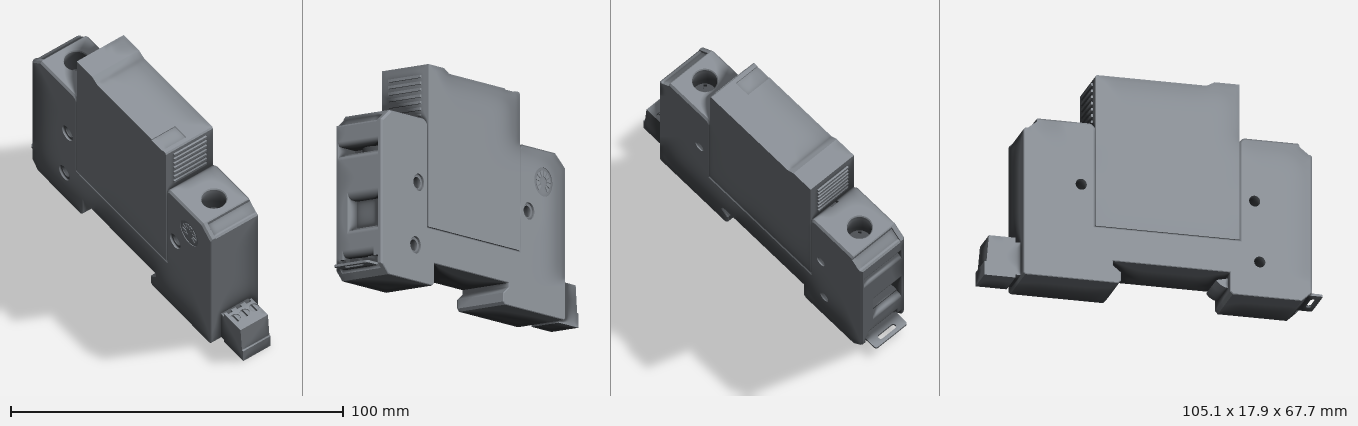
import cadquery as cq
import math


overall_length = 105.1

length = 89.9
depth = 17.9
height = 50.6
middle_y = 9.0
edge_chamfer = 0.6
foot_edge_chamfer = 0.2
corner_run = 4.4
corner_drop = 3.5
foot_chamfer_run = 3.4
foot_chamfer_rise = 3.2
right_foot_chamfer = 0.5

front_wall = 1.8
recess_lip = 1.3
recess_lip_bevel = 0.5
recess_slope_end = 4.1
recess_slope_rise = 2.2

rail_left = 25.6
rail_right = 62.2
rail_top = 6.9
rail_foot_chamfer = 0.8
hook_x = 59.7
hook_top = 5.6
hook_low = 3.6

module_left = 22.8
module_right = 67.6
module_bottom = 17.8
module_height = 67.7
module_depth = 17.7
module_step_z = 66.3
module_step_start = 30.5
module_step_end = 33.0
module_corner = 0.4
module_step_radius = 1.0
slot_mouth_radius = 2.1

fin_count = 7
fin_pitch = 2.0
fin_first_z = 52.2
fin_thickness = 0.8
fin_reach = 0.6
fin_y_start = 2.7
fin_y_end = 14.9

window_left = 60.3
window_width = 5.5
window_depth = 8.8
window_recess = 0.3

mouth_notches = [(21.3, module_left, 2.9), (module_right, 68.2, 5.3)]
mouth_notch_height = 2.1

well_inset = 10.5
well_radius = 3.8
well_depth = 8.4
well_chamfer = 0.3
screw_cross_length = 6.7
screw_cross_width = 1.0
screw_cross_depth = 1.0

rivet_z = 30.6
rivet_holes = [(18.1, rivet_z), (72.1, rivet_z), (16.5, 11.1)]
rivet_diameter = 3.5
rivet_bore_diameter = 5.3
rivet_bore_depth = 0.7

dial_x = 79.1
dial_z = 40.7
dial_radius = 4.4
dial_ring_radius = 3.5
dial_hub_radius = 1.7
dial_recess = 0.2
dial_mark_width = 0.3
dial_mark_angles = range(-30, 211, 30)
dial_gap_half_angle = 35

entry_y_start = 1.6
entry_y_end = 16.7
entry_bottom = 36.4
entry_top = 42.0
entry_lip = 1.4
entry_depth = 8.4
clamp_radius = 5.1

pocket_y_start = 1.6
pocket_y_end = 13.0
pocket_bottom = 13.2
pocket_top = 26.3
pocket_top_lip = 2.2
pocket_bottom_lip = 1.4
pocket_depth = 4.6

sill_x = 2.1
sill_rise = 0.5

tab_reach = 3.9
tab_y_start = 2.5
tab_y_end = 15.4
tab_bottom = 2.8
tab_thickness = 0.7
tab_corner = 0.8
tab_slot_x = -1.8
tab_slot_length = 6.8
tab_slot_width = 1.7
tab_root = 5.3
latch_y_start = 3.2
latch_y_end = 14.9
latch_window_top = 8.5
latch_window_lip = 2.0
latch_sill_lip = 0.1
latch_window_depth = 4.2
latch_mouth_y_start = 1.6
latch_mouth_y_end = 16.2
latch_mouth_bottom = 1.8
latch_mouth_top = 5.7
latch_mouth_depth = 1.6
latch_post_spans = [(3.4, 7.1), (10.7, 14.0)]
latch_post_top = 6.2
latch_post_x = 2.3
tooth_tip_x = 29.2
tooth_tip_z = 5.1
tooth_top = 6.0
tooth_bottom = 2.9
tooth_bulge = 0.2

plug_y_start = 3.8
plug_y_end = 14.1
plug_base_right = 91.5
plug_base_bottom = 0.9
plug_base_top = 11.3
plug_right = overall_length - tab_reach
plug_top = 12.8
plug_top_right = 99.8
plug_step_x = 100.5
plug_step_z = 4.4
plug_ways = 3
plug_pitch = 3.5
plug_screw_x = 95.0
plug_screw_radius = 1.6
plug_screw_recess = 0.3
plug_screw_slot_width = 0.6
plug_screw_slot_depth = 0.6
test_slot_length = 0.9
test_slot_width = 1.8
test_slot_depth = 1.6

cut_margin = 1.0


def box(x_start, x_end, y_start, y_end, z_start, z_end):
    """Axis-aligned block between the given limits."""
    size = (x_end - x_start, y_end - y_start, z_end - z_start)
    return cq.Workplane("XY").box(*size, centered=False).translate((x_start, y_start, z_start))


def xz_prism(points, y_start, y_end):
    """Closed X-Z outline extruded along Y."""
    outline = cq.Workplane("XZ", origin=(0, y_start, 0)).polyline(points).close()
    return outline.extrude(y_start - y_end)


def front_disc(radius, thickness):
    """Disc on the dial axis, sunk into the front face."""
    return cq.Workplane("XZ").center(dial_x, dial_z).circle(radius).extrude(-thickness)


def make_housing():
    outline = [
        (foot_chamfer_run, 0),
        (rail_left - rail_foot_chamfer, 0),
        (rail_left, rail_foot_chamfer),
        (rail_left, rail_top),
        (rail_right, rail_top),
        (rail_right, hook_top),
        (hook_x, hook_low),
        (hook_x, rail_foot_chamfer),
        (hook_x + rail_foot_chamfer, 0),
        (length - right_foot_chamfer, 0),
        (length, right_foot_chamfer),
        (length, height - corner_drop),
        (length - corner_run, height),
        (module_right, height),
        (module_right, module_bottom),
        (module_left, module_bottom),
        (module_left, height),
        (corner_run, height),
        (0, height - corner_drop),
        (0, foot_chamfer_rise),
    ]
    body = xz_prism(outline, 0, depth)
    slot_mouth = cq.selectors.BoxSelector(
        (module_left - cut_margin, -cut_margin, height - cut_margin),
        (module_right + cut_margin, depth + cut_margin, height + cut_margin),
    )
    body = body.edges("|Y").edges(slot_mouth).fillet(slot_mouth_radius)
    upper_edges = cq.selectors.BoxSelector(
        (-cut_margin, -cut_margin, rail_top + cut_margin),
        (length - cut_margin, depth + cut_margin, height + cut_margin),
    )
    body = body.faces("<Y or >Y").edges(upper_edges).chamfer(edge_chamfer)
    foot_edges = cq.selectors.BoxSelector(
        (-cut_margin, -cut_margin, -cut_margin),
        (length + cut_margin, depth + cut_margin, rail_top + cut_margin),
    )
    right_edges = cq.selectors.BoxSelector(
        (length - cut_margin / 2, -cut_margin, 0),
        (length + cut_margin, depth + cut_margin, height - corner_drop),
    )
    return body.faces("<Y or >Y").edges(foot_edges + right_edges).chamfer(foot_edge_chamfer)


def make_corner_recess():
    shoulder = height - corner_drop
    outline = [
        (-cut_margin, shoulder - recess_lip_bevel),
        (0, shoulder - recess_lip_bevel),
        (recess_lip_bevel, shoulder),
        (recess_lip, shoulder),
        (recess_slope_end, shoulder + recess_slope_rise),
        (recess_slope_end, height + cut_margin),
        (-cut_margin, height + cut_margin),
    ]
    return xz_prism(outline, front_wall, depth + cut_margin)


def mirror_in_length(solid):
    """Mirror image about the middle of the housing length."""
    return solid.mirror("YZ", (length / 2, 0, 0))


def make_module():
    outline = [
        (module_left, module_bottom),
        (module_right, module_bottom),
        (module_right, module_step_z - module_corner),
        (module_right - module_corner, module_step_z),
        (module_step_end, module_step_z),
        (module_step_start, module_height),
        (module_left, module_height),
    ]
    module = xz_prism(outline, 0, module_depth)
    step_foot = cq.selectors.NearestToPointSelector((module_step_end, module_depth / 2, module_step_z))
    module = module.edges("|Y").edges(step_foot).fillet(module_step_radius)
    for row in range(fin_count):
        z_start = fin_first_z + row * fin_pitch - fin_thickness / 2
        fin = box(
            module_left - fin_reach, module_right + fin_reach,
            fin_y_start, fin_y_end,
            z_start, z_start + fin_thickness,
        )
        module = module.union(fin)
    status_window = box(
        window_left, window_left + window_width,
        -cut_margin, window_depth,
        module_step_z - window_recess, module_height,
    )
    return module.cut(status_window)


def make_screw_well(x):
    """Blind well whose floor is a screw head with a diagonal cross recess."""
    floor = height - well_depth
    well = cq.Workplane("XY", origin=(x, middle_y, floor)).circle(well_radius).extrude(well_depth)
    rim = cq.Workplane("XY", origin=(x, middle_y, height)).circle(well_radius + well_chamfer)
    well = well.union(rim.extrude(-well_chamfer, taper=45))
    for angle in (45, 135):
        arm = cq.Workplane("XY", origin=(x, middle_y, floor)).transformed(rotate=(0, 0, angle))
        well = well.union(arm.rect(screw_cross_length, screw_cross_width).extrude(-screw_cross_depth))
    return well


def make_rivet_hole(x, z):
    plane = cq.Workplane("XZ").center(x, z)
    hole = plane.circle(rivet_diameter / 2).extrude(-depth)
    return hole.union(plane.circle(rivet_bore_diameter / 2).extrude(-rivet_bore_depth))


def make_dial():
    """Ring groove joined to a round hub by a downward gap, with radial marks around the hub."""
    gap_half_width = dial_ring_radius * math.tan(math.radians(dial_gap_half_angle))
    gap = xz_prism(
        [
            (dial_x, dial_z),
            (dial_x - gap_half_width, dial_z - dial_ring_radius),
            (dial_x + gap_half_width, dial_z - dial_ring_radius),
        ],
        0, dial_recess,
    )
    raised_ring = front_disc(dial_ring_radius, dial_recess)
    raised_ring = raised_ring.cut(front_disc(dial_hub_radius, dial_recess)).cut(gap)
    dial = front_disc(dial_radius, dial_recess).cut(raised_ring)
    mark_length = dial_ring_radius - dial_hub_radius
    mark_radius = (dial_ring_radius + dial_hub_radius) / 2
    for angle in dial_mark_angles:
        x = dial_x + mark_radius * math.cos(math.radians(angle))
        z = dial_z + mark_radius * math.sin(math.radians(angle))
        mark = cq.Workplane("XZ", origin=(x, 0, z)).transformed(rotate=(0, 0, angle))
        dial = dial.union(mark.rect(mark_length, dial_mark_width).extrude(-dial_recess))
    return dial


def make_lipped_opening(y_start, y_end, bottom, top, bottom_lip, top_lip, opening_depth):
    """Opening in the left wall that narrows inwards over rounded lips."""
    outline = (
        cq.Workplane("XZ", origin=(0, y_start, 0))
        .moveTo(-cut_margin, bottom)
        .lineTo(0, bottom)
        .radiusArc((bottom_lip, bottom + bottom_lip), bottom_lip)
        .lineTo(opening_depth, bottom + bottom_lip)
        .lineTo(opening_depth, top - top_lip)
        .lineTo(top_lip, top - top_lip)
        .radiusArc((0, top), top_lip)
        .lineTo(-cut_margin, top)
        .close()
    )
    return outline.extrude(y_start - y_end)


def make_sill(z, opening_depth):
    return box(sill_x, opening_depth, 0, depth, z, z + sill_rise)


def make_wire_entry():
    entry = make_lipped_opening(
        entry_y_start, entry_y_end, entry_bottom, entry_top, entry_lip, entry_lip, entry_depth
    )
    clamp = cq.Workplane("XY", origin=(well_inset, middle_y, entry_bottom)).circle(clamp_radius)
    entry = entry.cut(clamp.extrude(entry_top - entry_bottom))
    return entry.cut(make_sill(entry_bottom + entry_lip, entry_depth))


def make_cable_pocket():
    pocket = make_lipped_opening(
        pocket_y_start, pocket_y_end, pocket_bottom, pocket_top,
        pocket_bottom_lip, pocket_top_lip, pocket_depth,
    )
    return pocket.cut(make_sill(pocket_bottom + pocket_bottom_lip, pocket_depth))


def make_latch_opening():
    window = make_lipped_opening(
        latch_y_start, latch_y_end, tab_bottom, latch_window_top,
        latch_sill_lip, latch_window_lip, latch_window_depth,
    )
    mouth = box(
        -cut_margin, latch_mouth_depth,
        latch_mouth_y_start, latch_mouth_y_end,
        latch_mouth_bottom, latch_mouth_top,
    )
    return window.union(mouth)


def make_latch():
    tab_top = tab_bottom + tab_thickness
    tab = box(-tab_reach, tab_root, tab_y_start, tab_y_end, tab_bottom, tab_top)
    tab = tab.edges("|Z").edges("<X").fillet(tab_corner)
    pull_slot = (
        cq.Workplane("XY", origin=(tab_slot_x, middle_y, tab_bottom))
        .slot2D(tab_slot_length, tab_slot_width, 90)
        .extrude(tab_thickness)
    )
    latch = tab.cut(pull_slot)
    for y_start, y_end in latch_post_spans:
        latch = latch.union(box(latch_post_x, tab_root, y_start, y_end, tab_bottom, latch_post_top))
    tooth_mid = ((rail_left + 2 * tooth_tip_x) / 3, (tooth_tip_z + tooth_bottom) / 2 - tooth_bulge)
    tooth = (
        cq.Workplane("XZ", origin=(0, latch_y_start, 0))
        .moveTo(rail_left - cut_margin, tooth_bottom)
        .lineTo(rail_left, tooth_bottom)
        .threePointArc(tooth_mid, (tooth_tip_x, tooth_tip_z))
        .lineTo(rail_left, tooth_top)
        .lineTo(rail_left - cut_margin, tooth_top)
        .close()
        .extrude(latch_y_start - latch_y_end)
    )
    return latch.union(tooth)


def make_plug():
    outline = [
        (plug_base_right, 0),
        (plug_right, 0),
        (plug_right, plug_step_z),
        (plug_step_x, plug_step_z),
        (plug_top_right, plug_top),
        (plug_base_right, plug_top),
    ]
    plug = xz_prism(outline, plug_y_start, plug_y_end)
    base = box(
        length - cut_margin, plug_base_right,
        plug_y_start, plug_y_end,
        plug_base_bottom, plug_base_top,
    )
    plug = plug.union(base)
    for way in range(plug_ways):
        y = middle_y + (way - (plug_ways - 1) / 2) * plug_pitch
        screw = cq.Workplane("XY", origin=(plug_screw_x, y, plug_top))
        plug = plug.cut(screw.circle(plug_screw_radius).extrude(-plug_screw_recess))
        slot = screw.rect(2 * plug_screw_radius, plug_screw_slot_width)
        plug = plug.cut(slot.extrude(-plug_screw_recess - plug_screw_slot_depth))
        test_slot = box(
            plug_base_right, plug_base_right + test_slot_length,
            y - test_slot_width / 2, y + test_slot_width / 2,
            plug_top - test_slot_depth, plug_top,
        )
        plug = plug.cut(test_slot)
    return plug


housing = make_housing()

left_recess = make_corner_recess()
housing = housing.cut(left_recess).cut(mirror_in_length(left_recess))

for x_start, x_end, width in mouth_notches:
    notch = box(
        x_start, x_end,
        middle_y - width / 2, middle_y + width / 2,
        height - mouth_notch_height, height,
    )
    housing = housing.cut(notch)

for well_x in (well_inset, length - well_inset):
    housing = housing.cut(make_screw_well(well_x))

for hole_x, hole_z in rivet_holes:
    housing = housing.cut(make_rivet_hole(hole_x, hole_z))

housing = housing.cut(make_dial())
housing = housing.cut(make_wire_entry())
housing = housing.cut(make_cable_pocket())
housing = housing.cut(make_latch_opening())

result = housing.union(make_module()).union(make_latch()).union(make_plug())